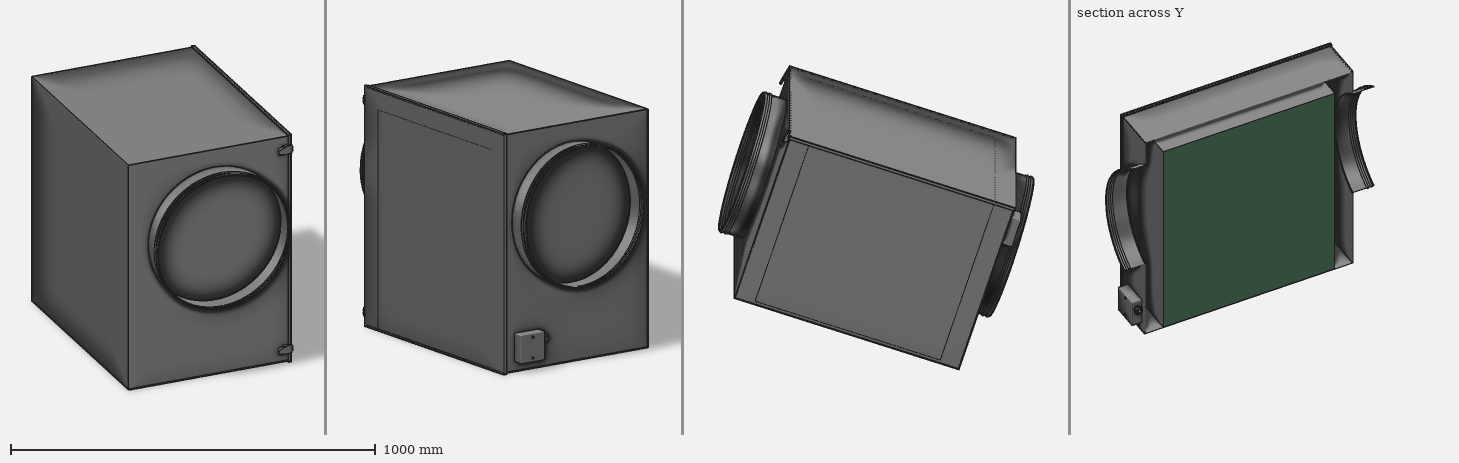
import cadquery as cq

OVERALL_DEPTH = 492.0

HOUSING_WIDTH = 650.0
HOUSING_HEIGHT = 678.0
SHEET = 3.0
BEND_RADIUS = 4.0

LID_DEPTH = 10.0
LID_WIDTH = 654.5
LID_HEIGHT = 683.0

FILTER_WIDTH = 535.0
FILTER_HEIGHT = 620.0
FILTER_FRONT_GAP = 8.0

COLLAR_END_X = 390.0
COLLAR_Y = 14.0
COLLAR_Z = 85.0
TUBE_RADIUS = 200.0
TUBE_WALL = 1.95
BEAD_WIDTH = 6.0
BEAD_HEIGHT = 3.0
BEAD_SETBACKS = (3.0, 15.5)

BOX_DEPTH = 30.5
BOX_SIDE_Y = 81.0
BOX_SIDE_Z = 81.0
BOX_Y = 165.0
BOX_Z = -270.0
BOX_EDGE_RADIUS = 3.0
SCREW_HOLE_RADIUS = 3.0
SCREW_HOLE_DEPTH = 4.0
SCREW_OFFSET = 30.0

GLAND_X = -341.0
GLAND_Z = -253.5
GLAND_BORE = 4.0
NECK_RADIUS = 9.0
NECK_LENGTH = 6.0
NUT_CIRCUMRADIUS = 12.5
NUT_LENGTH = 8.0
CAP_LENGTH = 5.0
CAP_BASE_RADIUS = 9.0
CAP_TIP_RADIUS = 6.0

CLIP_Z = 300.0
CLIP_WIDTH = 24.0
CLIP_TIP_WIDTH = 9.0
CLIP_BODY_END_Y = 217.0
CLIP_TIP_Y = 200.0
CLIP_BACK_X = 331.0
CLIP_SHOULDER_X = 335.0
CLIP_KNEE_X = 337.0
CLIP_TIP_X = 341.0
CLIP_TAB_THICKNESS = 4.0
PRONG_HEIGHT = 1.95
PRONG_WIDTH = 5.0
PRONG_SPACING = 8.5
PRONG_INNER_X = 325.0

HALF_WIDTH = HOUSING_WIDTH / 2
HALF_HEIGHT = HOUSING_HEIGHT / 2
INNER_HALF_WIDTH = HALF_WIDTH - SHEET
FRONT_Y = -OVERALL_DEPTH / 2
LID_BACK_Y = OVERALL_DEPTH / 2 - PRONG_HEIGHT
LID_RIM_Y = LID_BACK_Y - LID_DEPTH
SEAT_Y = LID_BACK_Y - SHEET
BOX_FRONT_Y = BOX_Y - BOX_SIDE_Y / 2
NUT_BACK_Y = BOX_FRONT_Y - NECK_LENGTH


def block(x_range, y_range, z_range):
    """Box given by its limits along each axis."""
    sizes = [high - low for low, high in (x_range, y_range, z_range)]
    corner = (x_range[0], y_range[0], z_range[0])
    return cq.Workplane("XY").box(*sizes, centered=False).translate(corner)


def centred(size):
    """Limits of a length centred on zero."""
    return (-size / 2, size / 2)


def make_housing():
    """Sheet box, open at the back, with a hole for each collar."""
    shell = block(centred(HOUSING_WIDTH), (FRONT_Y, SEAT_Y), centred(HOUSING_HEIGHT))
    shell = shell.faces("<Y").edges("|X").fillet(BEND_RADIUS)
    cavity = block(
        centred(2 * INNER_HALF_WIDTH),
        (FRONT_Y + SHEET, SEAT_Y),
        centred(HOUSING_HEIGHT - 2 * SHEET),
    )
    duct_hole = (
        cq.Workplane("YZ", origin=(-HALF_WIDTH, COLLAR_Y, COLLAR_Z))
        .circle(TUBE_RADIUS)
        .extrude(HOUSING_WIDTH)
    )
    return shell.cut(cavity).cut(duct_hole)


def make_lid():
    """Tray whose rim wraps the back of the housing."""
    tray = block(centred(LID_WIDTH), (LID_RIM_Y, LID_BACK_Y), centred(LID_HEIGHT))
    recess = block(centred(HOUSING_WIDTH), (LID_RIM_Y, SEAT_Y), centred(HOUSING_HEIGHT))
    return tray.cut(recess)


def make_filter():
    """Plain block clear of the front sheet and reaching the lid."""
    floor_z = -HALF_HEIGHT + SHEET
    return block(
        centred(FILTER_WIDTH),
        (FRONT_Y + SHEET + FILTER_FRONT_GAP, SEAT_Y),
        (floor_z, floor_z + FILTER_HEIGHT),
    )


def make_collar(side):
    """Beaded tube seated in the housing wall; side is -1 for left, +1 for right."""
    profile = (
        cq.Workplane("XZ")
        .moveTo(INNER_HALF_WIDTH, TUBE_RADIUS - TUBE_WALL)
        .lineTo(INNER_HALF_WIDTH, TUBE_RADIUS)
    )
    for setback in reversed(BEAD_SETBACKS):
        bead_end = COLLAR_END_X - setback
        bead_start = bead_end - BEAD_WIDTH
        profile = profile.lineTo(bead_start, TUBE_RADIUS).threePointArc(
            (bead_start + BEAD_WIDTH / 2, TUBE_RADIUS + BEAD_HEIGHT), (bead_end, TUBE_RADIUS)
        )
    collar = (
        profile.lineTo(COLLAR_END_X, TUBE_RADIUS)
        .lineTo(COLLAR_END_X, TUBE_RADIUS - TUBE_WALL)
        .close()
        .revolve(360, (0, 0, 0), (1, 0, 0))
    )
    if side < 0:
        collar = collar.mirror("YZ")
    return collar.translate((0, COLLAR_Y, COLLAR_Z))


def make_junction_box():
    """Rounded box with two blind screw holes in its outer face."""
    outer_x = -HALF_WIDTH - BOX_DEPTH
    box = (
        cq.Workplane("XY")
        .box(BOX_DEPTH, BOX_SIDE_Y, BOX_SIDE_Z)
        .edges("|X or <X")
        .fillet(BOX_EDGE_RADIUS)
        .translate((-HALF_WIDTH - BOX_DEPTH / 2, BOX_Y, BOX_Z))
    )
    screw_holes = (
        cq.Workplane("YZ", origin=(outer_x, BOX_Y, BOX_Z))
        .pushPoints([(0, -SCREW_OFFSET), (0, SCREW_OFFSET)])
        .circle(SCREW_HOLE_RADIUS)
        .extrude(SCREW_HOLE_DEPTH)
    )
    return box.cut(screw_holes)


def gland_plane(y):
    """Sketch plane on the gland axis, facing the front."""
    return cq.Workplane("XZ", origin=(GLAND_X, y, GLAND_Z))


def make_gland_neck():
    """Bored collar between the junction box and the nut."""
    return gland_plane(BOX_FRONT_Y).circle(NECK_RADIUS).circle(GLAND_BORE).extrude(NECK_LENGTH)


def make_gland_nut():
    """Hexagonal nut with a tapered cap, bored through."""
    hexagon = (
        gland_plane(NUT_BACK_Y)
        .transformed(rotate=(0, 0, 90))
        .polygon(6, 2 * NUT_CIRCUMRADIUS)
        .extrude(NUT_LENGTH)
    )
    cap = (
        gland_plane(NUT_BACK_Y - NUT_LENGTH)
        .circle(CAP_BASE_RADIUS)
        .workplane(offset=CAP_LENGTH)
        .circle(CAP_TIP_RADIUS)
        .loft()
    )
    bore = gland_plane(NUT_BACK_Y).circle(GLAND_BORE).extrude(NUT_LENGTH + CAP_LENGTH)
    return hexagon.union(cap).cut(bore)


def make_clip(z):
    """Slanted clip beside the lid rim: two prongs hook over the lid, a narrowing tab points forward."""
    lid_x = LID_WIDTH / 2
    tab_root_x = CLIP_KNEE_X - CLIP_TAB_THICKNESS
    clip = (
        cq.Workplane("XY")
        .polyline([
            (lid_x, LID_BACK_Y),
            (CLIP_BACK_X, LID_BACK_Y),
            (CLIP_KNEE_X, CLIP_BODY_END_Y),
            (CLIP_TIP_X, CLIP_TIP_Y),
            (CLIP_TIP_X - CLIP_TAB_THICKNESS, CLIP_TIP_Y),
            (tab_root_x, CLIP_BODY_END_Y),
            (HALF_WIDTH, CLIP_BODY_END_Y),
            (HALF_WIDTH, LID_RIM_Y),
            (lid_x, LID_RIM_Y),
        ])
        .close()
        .extrude(CLIP_WIDTH / 2, both=True)
    )
    outline = (
        cq.Workplane("XZ", origin=(0, LID_BACK_Y, 0))
        .polyline([
            (HALF_WIDTH, -CLIP_WIDTH / 2),
            (CLIP_SHOULDER_X, -CLIP_WIDTH / 2),
            (CLIP_TIP_X, -CLIP_TIP_WIDTH / 2),
            (CLIP_TIP_X, CLIP_TIP_WIDTH / 2),
            (CLIP_SHOULDER_X, CLIP_WIDTH / 2),
            (HALF_WIDTH, CLIP_WIDTH / 2),
        ])
        .close()
        .extrude(LID_BACK_Y - CLIP_TIP_Y)
    )
    clip = clip.intersect(outline)
    for prong_z in centred(PRONG_SPACING):
        prong = block(
            (PRONG_INNER_X, CLIP_BACK_X),
            (LID_BACK_Y, LID_BACK_Y + PRONG_HEIGHT),
            centred(PRONG_WIDTH),
        )
        clip = clip.union(prong.translate((0, 0, prong_z)))
    return clip.translate((0, 0, z))


housing = make_housing()
lid = make_lid()
filter_block = make_filter()
collars = [make_collar(side) for side in (-1, 1)]
junction_box = make_junction_box()
gland_neck = make_gland_neck()
gland_nut = make_gland_nut()
clips = [make_clip(z) for z in (-CLIP_Z, CLIP_Z)]

result = cq.Compound.makeCompound([
    housing.val(),
    lid.val(),
    filter_block.val(),
    *[collar.val() for collar in collars],
    junction_box.val(),
    gland_neck.val(),
    gland_nut.val(),
    *[clip.val() for clip in clips],
])